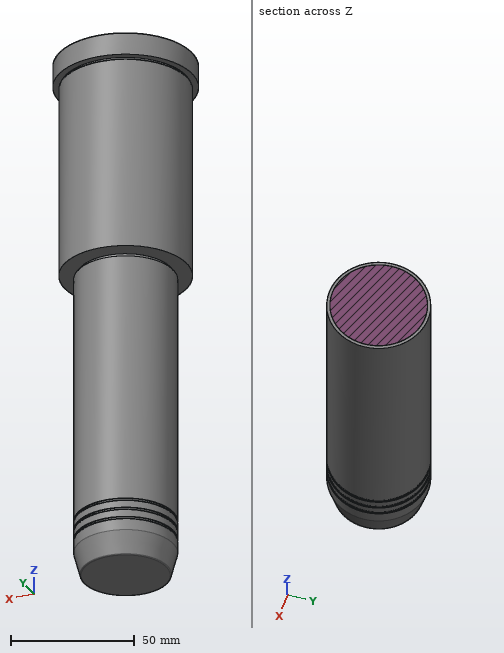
import cadquery as cq

total_height = 231.0
head_height = 10.0
body_height = 85.5
shaft_relief_height = 1.6
head_relief_height = 1.0
tip_height = 10.0

head_diameter = 59.0
body_diameter = 54.0
shaft_diameter = 42.0
shaft_relief_diameter = 39.5
head_relief_diameter = 53.1
tip_diameter = 36.7

head_chamfer = 0.5
tip_fillet = 0.5

groove_count = 3
groove_width = 1.0
groove_depth = 0.5
groove_pitch = 4.2
lowest_groove_z = 15.5

head_bottom_z = total_height - head_height
body_bottom_z = head_bottom_z - body_height
body_top_z = head_bottom_z - head_relief_height
shaft_top_z = body_bottom_z - shaft_relief_height


def cylinder(diameter, bottom_z, top_z):
    """Solid cylinder on the Z axis between two levels."""
    return cq.Workplane("XY", origin=(0, 0, bottom_z)).circle(diameter / 2).extrude(top_z - bottom_z)


def tapered_tip():
    """Cone frustum that leads into the shaft, with a rounded end edge."""
    cone = (
        cq.Workplane("XY")
        .circle(tip_diameter / 2)
        .workplane(offset=tip_height)
        .circle(shaft_diameter / 2)
        .loft(ruled=True)
    )
    return cone.faces("<Z").edges().fillet(tip_fillet)


def ring_groove(center_z):
    """Ring of material to remove from the shaft surface."""
    bottom_z = center_z - groove_width / 2
    top_z = center_z + groove_width / 2
    outer = cylinder(body_diameter, bottom_z, top_z)
    core = cylinder(shaft_diameter - 2 * groove_depth, bottom_z, top_z)
    return outer.cut(core)


head = cylinder(head_diameter, head_bottom_z, total_height)
head = head.faces(">Z").edges().chamfer(head_chamfer)
head_relief = cylinder(head_relief_diameter, body_top_z, head_bottom_z)
body = cylinder(body_diameter, body_bottom_z, body_top_z)
shaft_relief = cylinder(shaft_relief_diameter, shaft_top_z, body_bottom_z)
shaft = cylinder(shaft_diameter, tip_height, shaft_top_z)

result = tapered_tip().union(shaft).union(shaft_relief).union(body).union(head_relief).union(head)
for index in range(groove_count):
    result = result.cut(ring_groove(lowest_groove_z + index * groove_pitch))